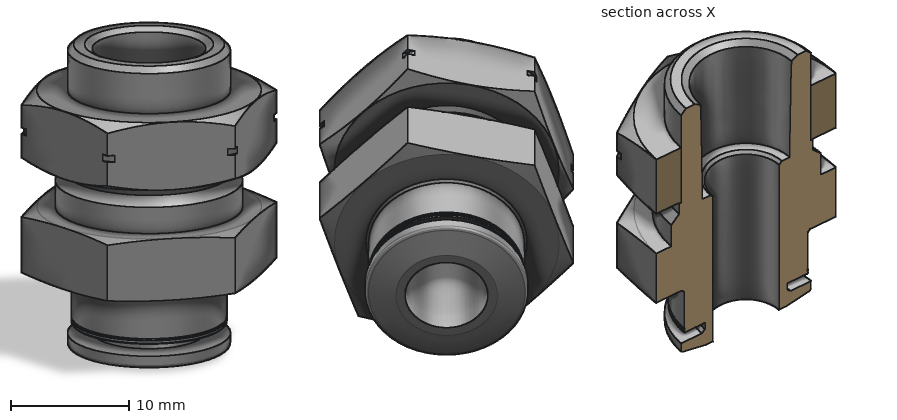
import cadquery as cq
import math

ACROSS_FLATS = 19.05
ACROSS_CORNERS = ACROSS_FLATS / math.cos(math.radians(30))
CORNER_RADIUS = ACROSS_CORNERS / 2
CHAMFER_CIRCLE_RADIUS = 9.5

TOTAL_HEIGHT = 27.0
RIM_HEIGHT = 0.43
FLANGE_EDGE_ROUND = 0.27
FLANGE_TOP = 1.5
NECK_FLARE_TOP = 1.84
BARREL_BOTTOM = 2.45
GROOVE_BOTTOM = 2.78
GROOVE_WIDTH = 0.15
GROOVE_DEPTH = 0.08
BARREL_EDGE_CHAMFER = 0.1
BARREL_TOP = 7.0
HEX_BOTTOM = 7.2
HEX_TOP = 12.65
COLLAR_CONE_BOTTOM = 14.98
COLLAR_CONE_TOP = 15.8
HEX_CORNER_DROP = 0.27

FLANGE_RADIUS = 13.8 / 2
FLANGE_FLAT_RADIUS = 4.3
NECK_RADIUS = 8.75 / 2
BARREL_RADIUS = 13.2 / 2
COLLAR_RADIUS = 15.88 / 2
SHOULDER_RADIUS = 14.2 / 2
THREAD_RADIUS = 13.8 / 2
TOP_CHAMFER = 0.5

TUBE_RADIUS = 7.0 / 2
LEAD_IN_RADIUS = 3.78
SOCKET_MOUTH_RADIUS = 5.45
SOCKET_MOUTH_DEPTH = 0.38
SOCKET_RADIUS = 4.8
SOCKET_FLOOR_RADIUS = 4.62
SOCKET_FLOOR = 16.2

NUT_BOTTOM = 16.95
NUT_TOP = 22.95
NUT_CORNER_DROP = 0.68
NOTCH_BOTTOM = 19.7
NOTCH_HEIGHT = 0.57
NOTCH_DEPTH = 0.3


def chamfered_hexagon(bottom, top, corner_drop):
    """Hexagon with corners on X, its corners turned off by a cone at both ends."""
    prism = cq.Workplane("XY").workplane(offset=bottom).polygon(6, ACROSS_CORNERS).extrude(top - bottom)
    envelope = (
        cq.Workplane("XZ")
        .moveTo(0, bottom)
        .lineTo(CHAMFER_CIRCLE_RADIUS, bottom)
        .lineTo(CORNER_RADIUS, bottom + corner_drop)
        .lineTo(CORNER_RADIUS, top - corner_drop)
        .lineTo(CHAMFER_CIRCLE_RADIUS, top)
        .lineTo(0, top)
        .close()
        .revolve(360, (0, 0), (0, 1))
    )
    return prism.intersect(envelope)


def turned_housing():
    """Everything turned on the outside of the housing, as one revolved outline."""
    groove_top = GROOVE_BOTTOM + GROOVE_WIDTH
    groove_radius = BARREL_RADIUS - GROOVE_DEPTH
    return (
        cq.Workplane("XZ")
        .lineTo(FLANGE_FLAT_RADIUS, 0)
        .lineTo(FLANGE_RADIUS - FLANGE_EDGE_ROUND, RIM_HEIGHT)
        .radiusArc((FLANGE_RADIUS, RIM_HEIGHT + FLANGE_EDGE_ROUND), -FLANGE_EDGE_ROUND)
        .lineTo(FLANGE_RADIUS, FLANGE_TOP)
        .lineTo(NECK_RADIUS + NECK_FLARE_TOP - FLANGE_TOP, FLANGE_TOP)
        .lineTo(NECK_RADIUS, NECK_FLARE_TOP)
        .lineTo(NECK_RADIUS, BARREL_BOTTOM)
        .lineTo(BARREL_RADIUS - BARREL_EDGE_CHAMFER, BARREL_BOTTOM)
        .lineTo(BARREL_RADIUS, BARREL_BOTTOM + BARREL_EDGE_CHAMFER)
        .lineTo(BARREL_RADIUS, GROOVE_BOTTOM)
        .lineTo(groove_radius, GROOVE_BOTTOM)
        .lineTo(groove_radius, groove_top)
        .lineTo(BARREL_RADIUS, groove_top)
        .lineTo(BARREL_RADIUS, BARREL_TOP)
        .lineTo(BARREL_RADIUS + HEX_BOTTOM - BARREL_TOP, HEX_BOTTOM)
        .lineTo(BARREL_RADIUS, HEX_TOP)
        .lineTo(COLLAR_RADIUS, HEX_TOP)
        .lineTo(COLLAR_RADIUS, COLLAR_CONE_BOTTOM)
        .lineTo(SHOULDER_RADIUS, COLLAR_CONE_TOP)
        .lineTo(SHOULDER_RADIUS, NUT_BOTTOM)
        .lineTo(THREAD_RADIUS, NUT_BOTTOM)
        .lineTo(THREAD_RADIUS, TOTAL_HEIGHT - TOP_CHAMFER)
        .lineTo(THREAD_RADIUS - TOP_CHAMFER, TOTAL_HEIGHT)
        .lineTo(0, TOTAL_HEIGHT)
        .close()
        .revolve(360, (0, 0), (0, 1))
    )


def stepped_bore():
    """Through hole for the tube, opening into a slightly tapered socket at the top."""
    socket_top = TOTAL_HEIGHT - SOCKET_MOUTH_DEPTH
    lead_in_bottom = SOCKET_FLOOR - (LEAD_IN_RADIUS - TUBE_RADIUS)
    return (
        cq.Workplane("XZ")
        .lineTo(TUBE_RADIUS, 0)
        .lineTo(TUBE_RADIUS, lead_in_bottom)
        .lineTo(LEAD_IN_RADIUS, SOCKET_FLOOR)
        .lineTo(SOCKET_FLOOR_RADIUS, SOCKET_FLOOR)
        .lineTo(SOCKET_RADIUS, socket_top)
        .lineTo(SOCKET_MOUTH_RADIUS, TOTAL_HEIGHT)
        .lineTo(0, TOTAL_HEIGHT)
        .close()
        .revolve(360, (0, 0), (0, 1))
    )


def make_housing():
    hexagon = chamfered_hexagon(HEX_BOTTOM, HEX_TOP, HEX_CORNER_DROP)
    return turned_housing().union(hexagon).cut(stepped_bore())


def corner_notches():
    """Ring around the nut that cuts a small notch into each corner."""
    return (
        cq.Workplane("XY")
        .workplane(offset=NOTCH_BOTTOM)
        .circle(CORNER_RADIUS + NOTCH_DEPTH)
        .circle(CORNER_RADIUS - NOTCH_DEPTH)
        .extrude(NOTCH_HEIGHT)
    )


def make_nut():
    thread_hole = (
        cq.Workplane("XY").workplane(offset=NUT_BOTTOM).circle(THREAD_RADIUS).extrude(NUT_TOP - NUT_BOTTOM)
    )
    hexagon = chamfered_hexagon(NUT_BOTTOM, NUT_TOP, NUT_CORNER_DROP)
    return hexagon.cut(thread_hole).cut(corner_notches())


housing = make_housing()
nut = make_nut()
result = cq.Compound.makeCompound([housing.val(), nut.val()])